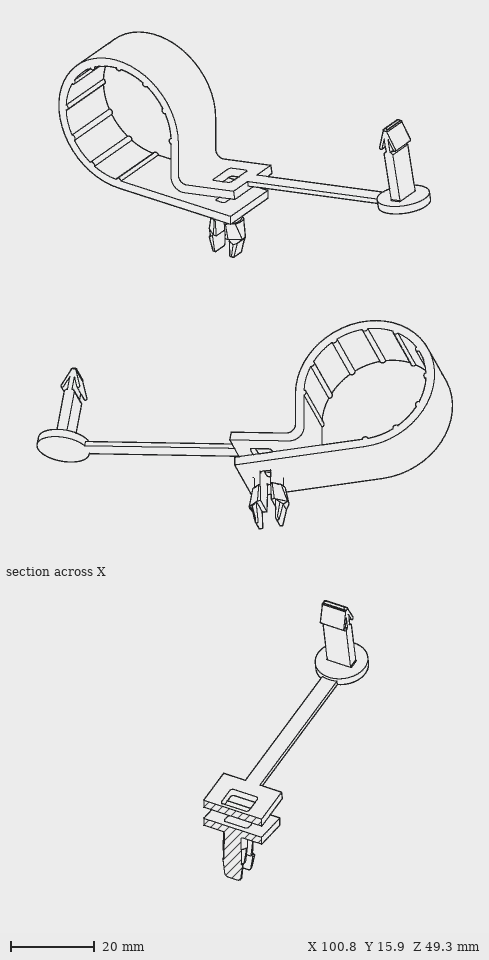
import cadquery as cq
import math

WIDTH = 15.88
RING_R = 17.3
BAND_T = 2.15
RING_INNER_R = RING_R - BAND_T
BASE_END_X = 32.4

RIB_R = 0.75
RIB_STEP = 30
RIB_LAST_ANGLE = 270
RIB_SINK = 0.2

TILT = 10
BEND_INNER_R = 2.0
BEND_OUTER_R = 3.2
BEND_X = RING_R + BEND_INNER_R
BEND_Z = -8.5
FLANGE_LENGTH = 13.8
FLANGE_TOP = -BEND_INNER_R
FLANGE_BOTTOM = FLANGE_TOP - BAND_T
SLOT_START = 4.6
SLOT_END = 9.93
SLOT_WIDTH = 7.5
SLOT_CORNER_R = 0.7

STRAP_T = 1.2
STRAP_WIDTH = 4.0
STRAP_OVERLAP = 1.0
DISC_D = 12.7
DISC_T = 2.0
DISC_CENTRE = 58.26
STRAP_BOTTOM = FLANGE_TOP - STRAP_T
DISC_TOP = STRAP_BOTTOM + DISC_T
POST_T = 2.6
POST_WIDTH = 6.4
POST_HEIGHT = 12.7
POST_CHAMFER = 0.5
POST_ROOT_FLARE = 0.2
NECK_T = 1.15
HEAD_WIDTH = 6.4
HEAD_HEIGHT = 6.14
HEAD_CHAMFER = 0.6
WING_D = 0.75
WING_SPREAD = 2.0
WING_DROP = 4.9

STUD_X = 26.05
STUD_D = 7.0
STUD_GAP = 2.6
STUD_CHORD = 2 * math.sqrt((STUD_D / 2) ** 2 - (STUD_GAP / 2) ** 2)
STEM_LENGTH = 3.5
STEM_FILLET = 0.3
BASE_HOLE_CORNER_R = 0.6
BARB_TOP_REACH = 4.0
BARB_REACH = 4.85
BARB_END = 7.75
BARB_TOP_CROWN = 3.6
BARB_END_CROWN = 1.4
BARB_TOP_SIDE = 0.35
BARB_END_SIDE = 0.8
BARB_END_CHORD = 5.6
TIP_INNER = 2.4
TIP_NECK_REACH = 3.9
TIP_NECK_DEPTH = 8.8
TIP_END_INNER = 2.15
TIP_D = 0.9
TIP_TOP_WIDTH = 5.6
TIP_END_WIDTH = 4.3
TIP_CORNER_R = 1.1
TIP_CROWN = 3.0
TIP_BEVEL = 0.5
STUD_LENGTH = 13.0

TILT_COS = math.cos(math.radians(TILT))
TILT_SIN = math.sin(math.radians(TILT))
TILTED = cq.Plane(
    origin=(BEND_X, 0, BEND_Z),
    xDir=(TILT_COS, 0, TILT_SIN),
    normal=(0, -1, 0),
)


def to_xz(along, up):
    """Convert a point of the tilted frame to part X and Z."""
    return (
        BEND_X + along * TILT_COS - up * TILT_SIN,
        BEND_Z + along * TILT_SIN + up * TILT_COS,
    )


def polar(radius, degrees):
    angle = math.radians(degrees)
    return (radius * math.cos(angle), radius * math.sin(angle))


def flange_face_at(x, up):
    """Point where a flange face at the given local height reaches part X."""
    along = (x - BEND_X + up * TILT_SIN) / TILT_COS
    return to_xz(along, up)


def make_band():
    inside_corner = flange_face_at(RING_R, FLANGE_TOP)
    outside_corner = flange_face_at(RING_INNER_R, FLANGE_BOTTOM)
    band = (
        cq.Workplane("XZ")
        .moveTo(BASE_END_X, -RING_R)
        .lineTo(0, -RING_R)
        .threePointArc(polar(RING_R, 135), (RING_R, 0))
        .lineTo(*inside_corner)
        .lineTo(*to_xz(FLANGE_LENGTH, FLANGE_TOP))
        .lineTo(*to_xz(FLANGE_LENGTH, FLANGE_BOTTOM))
        .lineTo(*outside_corner)
        .lineTo(RING_INNER_R, 0)
        .threePointArc(polar(RING_INNER_R, 135), (0, -RING_INNER_R))
        .lineTo(BASE_END_X, -RING_INNER_R)
        .close()
        .extrude(WIDTH / 2, both=True)
    )
    for corner, radius in ((inside_corner, BEND_INNER_R), (outside_corner, BEND_OUTER_R)):
        corner_edge = cq.selectors.NearestToPointSelector((corner[0], 0, corner[1]))
        band = band.edges(corner_edge).fillet(radius)
    return band


def make_ribs():
    centres = [
        polar(RING_INNER_R + RIB_SINK, angle)
        for angle in range(0, RIB_LAST_ANGLE + 1, RIB_STEP)
    ]
    return cq.Workplane("XZ").pushPoints(centres).circle(RIB_R).extrude(WIDTH / 2, both=True)


def make_flange_slot():
    length = SLOT_END - SLOT_START
    return (
        cq.Workplane(TILTED)
        .center((SLOT_START + SLOT_END) / 2, (FLANGE_TOP + FLANGE_BOTTOM) / 2)
        .box(length, 2 * BAND_T, SLOT_WIDTH)
        .edges(cq.ParallelDirSelector(TILTED.yDir))
        .fillet(SLOT_CORNER_R)
    )


def tilted_box(start, end, bottom, top, width):
    return (
        cq.Workplane(TILTED)
        .center((start + end) / 2, (bottom + top) / 2)
        .rect(end - start, top - bottom)
        .extrude(width / 2, both=True)
    )


def disc_plane(up):
    """Plane across the disc axis at the given local height."""
    x, z = to_xz(DISC_CENTRE, up)
    return cq.Plane(origin=(x, 0, z), xDir=(TILT_COS, 0, TILT_SIN), normal=TILTED.yDir)


def make_strap():
    start = FLANGE_LENGTH - STRAP_OVERLAP
    strap = tilted_box(start, DISC_CENTRE, STRAP_BOTTOM, FLANGE_TOP, STRAP_WIDTH)
    disc = cq.Workplane(disc_plane(STRAP_BOTTOM)).circle(DISC_D / 2).extrude(DISC_T)
    return strap.union(disc)


def make_wing(side):
    """Springy barb that hangs from the head apex and ends in a round edge."""
    apex_up = HEAD_HEIGHT - WING_D / 2
    slope = math.degrees(math.atan2(-WING_DROP, side * WING_SPREAD))
    length = math.hypot(WING_DROP, WING_SPREAD)
    return (
        cq.Workplane(TILTED)
        .center(DISC_CENTRE, DISC_TOP + POST_HEIGHT + apex_up)
        .transformed(rotate=(0, 0, slope))
        .center(length / 2, 0)
        .slot2D(length + WING_D, WING_D)
        .extrude(HEAD_WIDTH / 2, both=True)
    )


def make_post():
    half = POST_T / 2
    post_top = DISC_TOP + POST_HEIGHT
    post = (
        cq.Workplane(TILTED)
        .center(DISC_CENTRE, 0)
        .moveTo(-half, STRAP_BOTTOM)
        .lineTo(half, STRAP_BOTTOM)
        .lineTo(half, post_top - POST_CHAMFER)
        .lineTo(half - POST_CHAMFER, post_top)
        .lineTo(POST_CHAMFER - half, post_top)
        .lineTo(-half, post_top - POST_CHAMFER)
        .close()
        .extrude(POST_WIDTH / 2, both=True)
    )
    root = (
        cq.Workplane(disc_plane(DISC_TOP))
        .rect(POST_T, POST_WIDTH + 2 * POST_ROOT_FLARE)
        .workplane(offset=POST_ROOT_FLARE)
        .rect(POST_T, POST_WIDTH)
        .loft(ruled=True)
    )
    return post.union(root)


def make_head():
    """Arrow shaped snap head on a thin neck, with its top corners cut off."""
    post_top = DISC_TOP + POST_HEIGHT
    neck = tilted_box(
        DISC_CENTRE - NECK_T / 2,
        DISC_CENTRE + NECK_T / 2,
        post_top - POST_CHAMFER,
        post_top + HEAD_HEIGHT - WING_D / 2,
        HEAD_WIDTH,
    )
    envelope = (
        cq.Workplane(disc_plane(DISC_TOP))
        .rect(2 * POST_T + 2 * WING_SPREAD, HEAD_WIDTH)
        .extrude(POST_HEIGHT + HEAD_HEIGHT)
        .faces(cq.selectors.DirectionMinMaxSelector(TILTED.yDir))
        .edges(cq.ParallelDirSelector(TILTED.xDir))
        .chamfer(HEAD_CHAMFER)
    )
    return neck.union(make_wing(-1)).union(make_wing(1)).intersect(envelope)


def make_stem():
    """Round stud with a filleted root, split by the central gap."""
    radius = STUD_D / 2
    root = radius + STEM_FILLET
    arc_offset = STEM_FILLET * (1 - math.sqrt(0.5))
    stud = (
        cq.Workplane("XZ")
        .lineTo(root, 0)
        .threePointArc((radius + arc_offset, -arc_offset), (radius, -STEM_FILLET))
        .lineTo(radius, -STEM_LENGTH)
        .lineTo(0, -STEM_LENGTH)
        .close()
        .revolve(360, (0, 0, 0), (0, 1, 0))
    )
    gap = cq.Workplane("XY").box(STUD_GAP, 2 * STUD_D, 2 * STEM_LENGTH)
    return stud.cut(gap)


def crown_setback(crown):
    """How far the crown edges lie behind the crest of the rounded crown."""
    radius = STUD_D / 2
    return radius - math.sqrt(radius ** 2 - (crown / 2) ** 2)


def prong_section(depth, inner, side, reach, chord, crown):
    """Section across a prong: flat back, short sides, bevels and a rounded outer crown."""
    crown_x = reach - crown_setback(crown)
    section = (
        cq.Workplane("XY")
        .workplane(offset=-depth)
        .moveTo(inner, -chord / 2)
        .lineTo(inner + side, -chord / 2)
        .lineTo(crown_x, -crown / 2)
        .threePointArc((reach, 0), (crown_x, crown / 2))
        .lineTo(inner + side, chord / 2)
        .lineTo(inner, chord / 2)
        .close()
    )
    return section.val()


def ruled_solid(*sections):
    return cq.Workplane(cq.Solid.makeLoft(list(sections), True))


def make_barb():
    inner = STUD_GAP / 2
    return ruled_solid(
        prong_section(STEM_LENGTH, inner, BARB_TOP_SIDE, BARB_TOP_REACH, STUD_CHORD, BARB_TOP_CROWN),
        prong_section(BARB_END, inner, BARB_END_SIDE, BARB_REACH, BARB_END_CHORD, BARB_END_CROWN),
    )


def make_tip():
    """Inward leaning finger below the barb, narrowing toward its rounded end."""
    end_z = -STUD_LENGTH + TIP_D / 2
    profile = (
        cq.Workplane("XZ")
        .moveTo(TIP_INNER, -BARB_END)
        .lineTo(BARB_REACH, -BARB_END)
        .lineTo(TIP_NECK_REACH, -TIP_NECK_DEPTH)
        .lineTo(TIP_END_INNER + TIP_D, end_z)
        .threePointArc((TIP_END_INNER + TIP_D / 2, -STUD_LENGTH), (TIP_END_INNER, end_z))
        .lineTo(TIP_INNER, -TIP_NECK_DEPTH)
        .close()
        .extrude(STUD_D / 2, both=True)
    )
    taper = (
        cq.Workplane("YZ")
        .moveTo(-TIP_TOP_WIDTH / 2, -BARB_END)
        .lineTo(TIP_TOP_WIDTH / 2, -BARB_END)
        .lineTo(TIP_END_WIDTH / 2, -STUD_LENGTH)
        .lineTo(-TIP_END_WIDTH / 2, -STUD_LENGTH)
        .close()
        .extrude(STUD_D)
        .faces("<Z")
        .edges("|X")
        .fillet(TIP_CORNER_R)
    )
    setback = crown_setback(TIP_CROWN)
    end_reach = TIP_END_INNER + TIP_D
    neck_side = TIP_NECK_REACH - TIP_END_INNER - TIP_BEVEL
    end_side = TIP_D - TIP_BEVEL
    start = prong_section(
        BARB_END, STUD_GAP / 2, BARB_END_SIDE, BARB_REACH, BARB_END_CHORD, BARB_END_CROWN
    )
    neck = prong_section(
        TIP_NECK_DEPTH, TIP_END_INNER, neck_side, TIP_NECK_REACH + setback, TIP_TOP_WIDTH, TIP_CROWN
    )
    end = prong_section(
        STUD_LENGTH, TIP_END_INNER, end_side, end_reach + setback, TIP_END_WIDTH, TIP_CROWN
    )
    bevels = ruled_solid(start, neck, end)
    return profile.intersect(taper).intersect(bevels)


def make_stud():
    prong = make_barb().union(make_tip())
    stud = make_stem().union(prong).union(prong.mirror("YZ"))
    return stud.translate((STUD_X, 0, -RING_R))


def make_base_hole():
    return (
        cq.Workplane("XY")
        .box(STUD_GAP, STUD_CHORD, 2 * BAND_T)
        .edges("|Z")
        .fillet(BASE_HOLE_CORNER_R)
        .translate((STUD_X, 0, BAND_T / 2 - RING_R))
    )


result = (
    make_band()
    .union(make_ribs())
    .cut(make_flange_slot())
    .cut(make_base_hole())
    .union(make_strap())
    .union(make_post())
    .union(make_head())
    .union(make_stud())
)